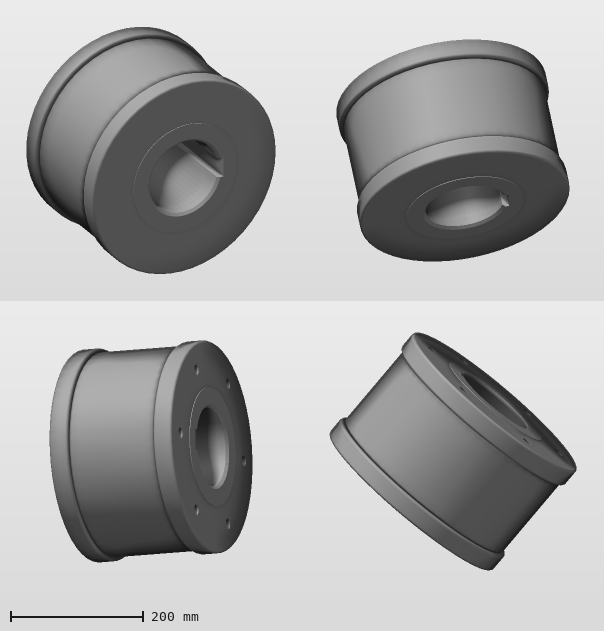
import cadquery as cq
import math

flange_radius = 161.0
drum_radius = 155.0
flange_face_x = 100.0
flange_thickness = 30.0
edge_fillet = 4.0

hub_radius = 90.0
hub_height = 1.0
hub_face_x = flange_face_x + hub_height

bore_radius = 60.0
bore_chamfer = 4.0
key_width = 32.0
key_depth = 7.4

hole_count = 6
hole_circle_radius = 124.0
hole_radius = 8.0
hole_depth = 30.0
drill_point_angle = 118.0


def cylinder_along_x(radius, start_x, end_x):
    return cq.Workplane("YZ", origin=(start_x, 0, 0)).circle(radius).extrude(end_x - start_x)


def rounded_cylinder(radius, start_x, end_x):
    """Cylinder along X with both outer edges filleted."""
    return cylinder_along_x(radius, start_x, end_x).edges("%CIRCLE").fillet(edge_fillet)


def wheel_body():
    flange_inner_x = flange_face_x - flange_thickness
    body = rounded_cylinder(drum_radius, -flange_inner_x, flange_inner_x)
    body = body.union(rounded_cylinder(flange_radius, -flange_face_x, -flange_inner_x))
    body = body.union(rounded_cylinder(flange_radius, flange_inner_x, flange_face_x))
    return body.union(cylinder_along_x(hub_radius, -hub_face_x, hub_face_x))


def bore():
    mouth_radius = bore_radius + bore_chamfer
    chamfer_x = hub_face_x - bore_chamfer
    outline = [
        (-hub_face_x, 0),
        (-hub_face_x, mouth_radius),
        (-chamfer_x, bore_radius),
        (chamfer_x, bore_radius),
        (hub_face_x, mouth_radius),
        (hub_face_x, 0),
    ]
    return cq.Workplane("XY").polyline(outline).close().revolve(360, (0, 0, 0), (1, 0, 0))


def keyway():
    key_top_y = bore_radius + key_depth
    return cq.Workplane("XY").box(2 * hub_face_x, key_top_y, key_width, centered=(True, False, True))


def drilled_hole(angle):
    """Blind hole with a conical bottom, at the given angle about the X axis."""
    point_length = hole_radius / math.tan(math.radians(drill_point_angle / 2))
    wall_end_x = -flange_face_x + hole_depth
    outline = [
        (-flange_face_x, 0),
        (-flange_face_x, hole_radius),
        (wall_end_x, hole_radius),
        (wall_end_x + point_length, 0),
    ]
    hole = cq.Workplane("XY").polyline(outline).close().revolve(360, (0, 0, 0), (1, 0, 0))
    return hole.translate((0, hole_circle_radius, 0)).rotate((0, 0, 0), (1, 0, 0), angle)


result = wheel_body().cut(bore()).cut(keyway())
for index in range(hole_count):
    result = result.cut(drilled_hole(index * 360.0 / hole_count))